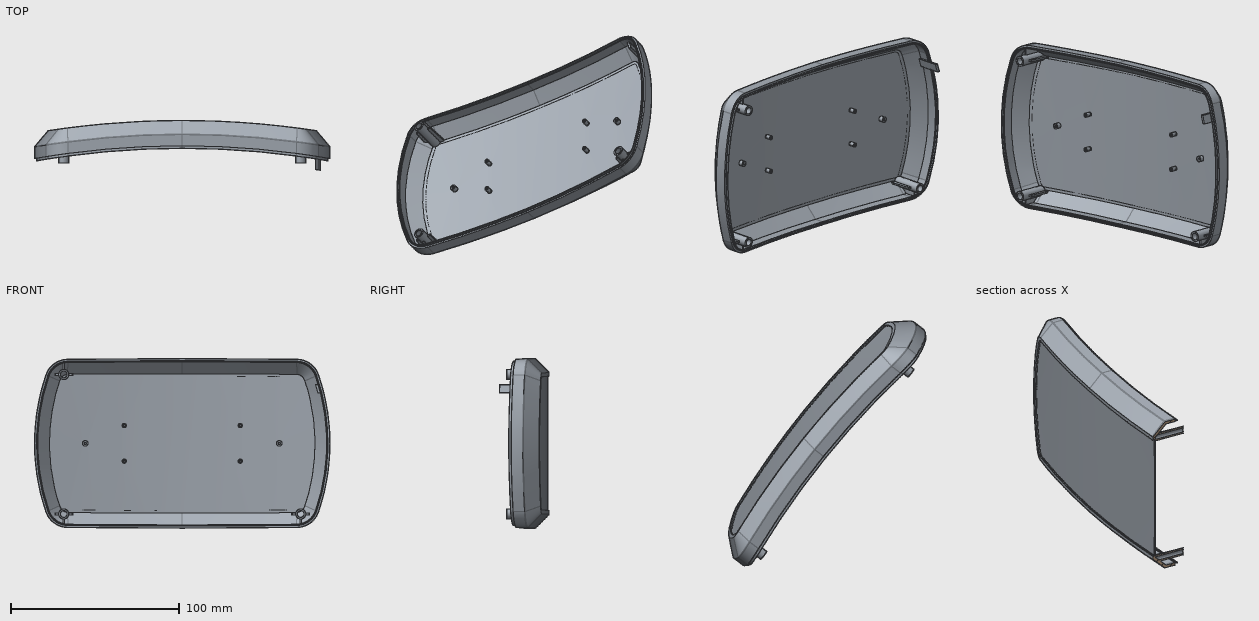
import cadquery as cq
import math

LENGTH = 175.88
HEIGHT = 101.0
END_RADIUS = 125.0
LONG_SIDE_SLOPE = 0.006
CORNER_RADIUS = 14.0
BACK_RADIUS = 525.0
WALL = 2.0
CHAMFER = 8.2
BEVEL_FOOT_RADIUS = 0.6
RIM_DEPTH = 15.1
FULL_DEPTH = 29.74

TONGUE_SETBACK = 1.2
TONGUE_THICKNESS = 0.5
TONGUE_HEIGHT = 1.6

LIP_WIDTH = 2.3
RECESS_DEPTH = 1.3
PANEL_THICKNESS = 0.5
RECESS_CORNER_RADIUS = 3.0

BOSS_DIAMETER = 6.0
BOSS_BORE = 4.0
BOSS_X = 70.5
BOSS_TOP_Z = 41.0
BOSS_BOTTOM_Z = -42.0
BOSS_END = 25.4
BOSS_PLACES = [(-BOSS_X, BOSS_TOP_Z), (-BOSS_X, BOSS_BOTTOM_Z), (BOSS_X, BOSS_BOTTOM_Z)]

FIN_THICKNESS = 1.0
FIN_REACH = 5.8
FIN_TIP_REACH = 4.8
FIN_END = 20.5

SMALL_STANDOFF = {"diameter": 2.5, "bore": 1.2, "height": 3.8}
LARGE_STANDOFF = {"diameter": 3.3, "bore": 1.3, "height": 2.8}
SMALL_PLACES = [(x, z) for x in (-34.5, 34.5) for z in (-10.6, 10.6)]
LARGE_PLACES = [(-57.7, 0), (57.7, 0)]

BLADE_THICKNESS = 1.5
BLADE_BOTTOM_Z = 30.0
BLADE_TOP_Z = 35.0

INNER_CHAMFER = CHAMFER - WALL * (2 - math.sqrt(2))
DEEP = 60.0


def plane_at(y):
    """XZ work plane at the given Y, extruding toward -Y."""
    return cq.Workplane("XZ", origin=(0, y, 0))


def outline_prism(inset, corner_radius):
    """The front outline, moved inward by `inset`, as a prism through all depths."""
    half_x = LENGTH / 2 - inset
    half_z = HEIGHT / 2 - inset * math.hypot(1, LONG_SIDE_SLOPE)
    end_radius = END_RADIUS - inset
    end_centre = half_x - end_radius
    a = 1 + LONG_SIDE_SLOPE**2
    b = end_centre + LONG_SIDE_SLOPE * half_z
    c = end_centre**2 + half_z**2 - end_radius**2
    corner_x = (b + math.sqrt(b**2 - a * c)) / a
    corner_z = half_z - LONG_SIDE_SLOPE * corner_x
    return (
        plane_at(DEEP)
        .moveTo(-corner_x, corner_z)
        .lineTo(0, half_z)
        .lineTo(corner_x, corner_z)
        .threePointArc((half_x, 0), (corner_x, -corner_z))
        .lineTo(0, -half_z)
        .lineTo(-corner_x, -corner_z)
        .threePointArc((-half_x, 0), (-corner_x, corner_z))
        .close()
        .extrude(2 * DEEP)
        .edges("|Y")
        .edges("<X or >X")
        .fillet(corner_radius)
    )


def bend_cylinder(depth):
    """Everything deeper than a surface `depth` below the back, concentric with the back."""
    base = cq.Workplane("XY", origin=(0, -BACK_RADIUS, -HEIGHT))
    return base.circle(BACK_RADIUS - depth).extrude(2 * HEIGHT)


def bent_slab(inset, corner_radius, start, end):
    """The inset outline between two concentric depths."""
    prism = outline_prism(inset, corner_radius)
    return prism.intersect(bend_cylinder(start)).cut(bend_cylinder(end))


def bevelled_slab(inset, start, end, chamfer):
    """A bent slab of the inset outline with a 45 degree bevel around its back face."""
    slab = bent_slab(inset, CORNER_RADIUS - inset, start, end)
    return slab.faces(">Y").chamfer(chamfer)


def cavity():
    """The room inside the walls, left open past the rim."""
    return bevelled_slab(WALL, WALL, DEEP, INNER_CHAMFER)


def outer_body():
    """The solid outside form, from the back to the rim shoulder."""
    body = bevelled_slab(0, 0, DEEP, CHAMFER)
    near_back = cq.selectors.BoxSelector((-LENGTH, -FULL_DEPTH, -HEIGHT), (LENGTH, 0, HEIGHT))
    bevel_foot = body.faces("#Y").edges("not(|Y)").edges(near_back)
    return bevel_foot.fillet(BEVEL_FOOT_RADIUS).cut(bend_cylinder(RIM_DEPTH))


def tongue():
    end = RIM_DEPTH + TONGUE_HEIGHT
    inner = TONGUE_SETBACK + TONGUE_THICKNESS
    ring = bent_slab(TONGUE_SETBACK, CORNER_RADIUS - TONGUE_SETBACK, RIM_DEPTH, end)
    return ring.cut(outline_prism(inner, CORNER_RADIUS - inner))


def back_recess(start):
    """The recess in the back, from depth `start` to its floor."""
    return bent_slab(CHAMFER + LIP_WIDTH, RECESS_CORNER_RADIUS, start, RECESS_DEPTH)


def boss(x, z):
    """Screw boss with two tapered side fins and a straight fin to the nearer long wall."""
    column = plane_at(0).center(x, z).circle(BOSS_DIAMETER / 2).extrude(BOSS_END)
    side_fins = (
        cq.Workplane("XY", origin=(x, 0, z - FIN_THICKNESS / 2))
        .polyline([(-FIN_REACH, 0), (FIN_REACH, 0), (FIN_TIP_REACH, -FIN_END), (-FIN_TIP_REACH, -FIN_END)])
        .close()
        .extrude(FIN_THICKNESS)
    )
    outward = math.copysign(HEIGHT / 2 - abs(z), z)
    wall_fin = plane_at(0).center(x, z + outward / 2).rect(FIN_THICKNESS, abs(outward)).extrude(FIN_END)
    bore = plane_at(0).center(x, z).circle(BOSS_BORE / 2).extrude(BOSS_END)
    return column.union(side_fins).union(wall_fin).cut(bore)


def standoff(x, z, diameter, bore, height):
    """Tube rising `height` above the floor."""
    end = BACK_RADIUS - math.sqrt((BACK_RADIUS - WALL) ** 2 - x**2) + height
    return plane_at(0).center(x, z).circle(diameter / 2).circle(bore / 2).extrude(end)


def make_housing():
    bosses = [boss(x, z) for x, z in BOSS_PLACES]
    small_standoffs = [standoff(x, z, **SMALL_STANDOFF) for x, z in SMALL_PLACES]
    large_standoffs = [standoff(x, z, **LARGE_STANDOFF) for x, z in LARGE_PLACES]
    room = cavity()
    shell = outer_body().cut(room).cut(back_recess(0)).union(tongue())
    for fitting in bosses + small_standoffs + large_standoffs:
        shell = shell.union(fitting.intersect(room))
    return shell


def make_panel():
    return back_recess(RECESS_DEPTH - PANEL_THICKNESS)


def make_blade():
    """Blade against the end wall, from the foot of the wall out past the rim."""
    root = WALL + INNER_CHAMFER
    outer_x = math.sqrt((END_RADIUS - WALL) ** 2 - BLADE_BOTTOM_Z**2) + LENGTH / 2 - END_RADIUS
    end = BACK_RADIUS - math.hypot(BACK_RADIUS - FULL_DEPTH, outer_x)
    ring = bent_slab(WALL, CORNER_RADIUS - WALL, root, end)
    core = outline_prism(WALL + BLADE_THICKNESS, CORNER_RADIUS - WALL - BLADE_THICKNESS)
    window = (
        cq.Workplane("XY", origin=(LENGTH / 2, 0, BLADE_BOTTOM_Z))
        .rect(LENGTH / 2, 2 * DEEP)
        .extrude(BLADE_TOP_Z - BLADE_BOTTOM_Z)
    )
    return ring.cut(core).intersect(window)


housing = make_housing()
panel = make_panel()
blade = make_blade()

result = cq.Compound.makeCompound([housing.val(), panel.val(), blade.val()])